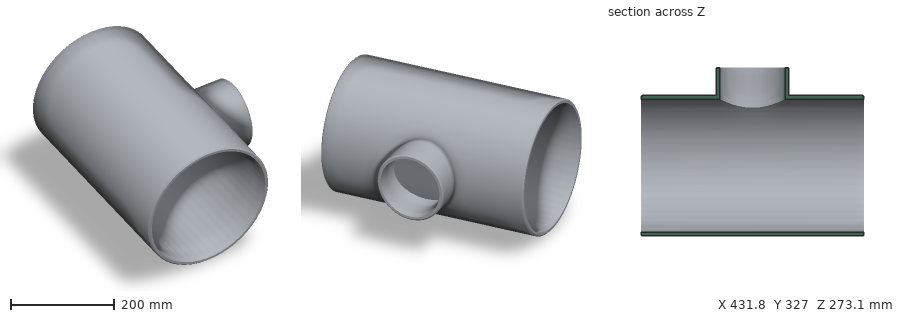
import cadquery as cq

WALL = 7.8
RIM_CHAMFER = WALL / 3

RUN_LENGTH = 431.8
RUN_RADIUS = 273.05 / 2

BRANCH_REACH = 190.5
BRANCH_RADIUS = 141.3 / 2


def run_cylinder(radius):
    """Cylinder along X, as long as the run pipe."""
    return cq.Workplane("YZ").circle(radius).extrude(RUN_LENGTH / 2, both=True)


def branch_cylinder(radius):
    """Cylinder along +Y, from the run axis to the branch end face."""
    return cq.Workplane("XZ").circle(radius).extrude(-BRANCH_REACH)


run_body = run_cylinder(RUN_RADIUS).faces("<X or >X").chamfer(RIM_CHAMFER)
branch_body = branch_cylinder(BRANCH_RADIUS).faces(">Y").chamfer(RIM_CHAMFER)

run_bore = run_cylinder(RUN_RADIUS - WALL)
branch_bore = branch_cylinder(BRANCH_RADIUS - WALL)

result = run_body.union(branch_body).cut(run_bore).cut(branch_bore)